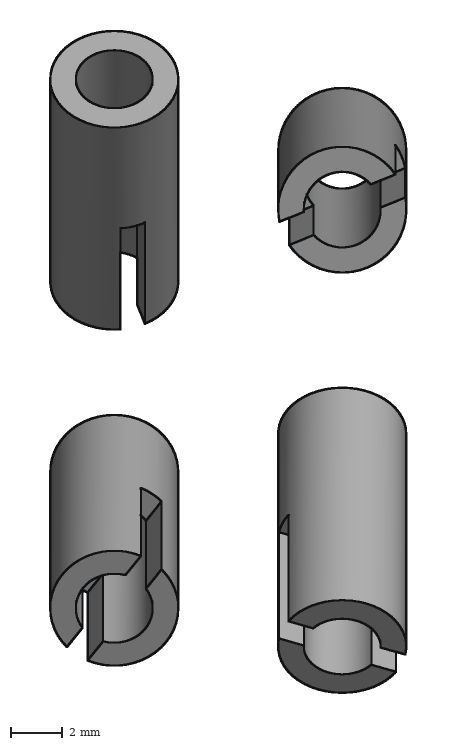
import cadquery as cq

length = 12.0
outer_diameter = 5.0
bore_diameter = 3.0
slot_width = 1.0
slot_height = length / 2

tube = (
    cq.Workplane("XY")
    .circle(outer_diameter / 2)
    .circle(bore_diameter / 2)
    .extrude(length)
)

slot = cq.Workplane("XY").box(
    2 * outer_diameter, slot_width, slot_height, centered=(True, True, False)
)

result = tube.cut(slot)